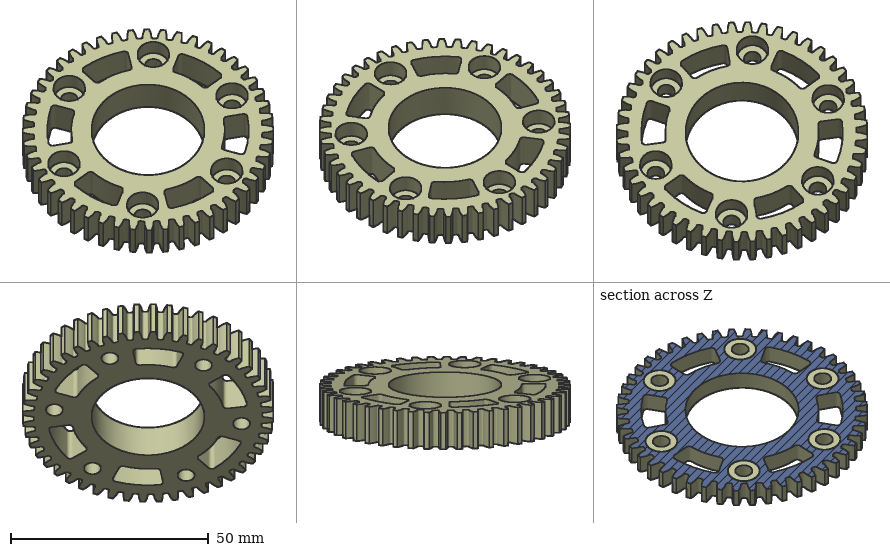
import cadquery as cq
import math

INCH = 25.4

TOOTH_COUNT = 48
MODULE = INCH / 20
PRESSURE_ANGLE = math.radians(14.5)
DEDENDUM_FACTOR = 1.25
ROOT_FILLET = 0.55
FLANK_POINTS = 6

PITCH_RADIUS = MODULE * TOOTH_COUNT / 2
TIP_RADIUS = PITCH_RADIUS + MODULE
ROOT_RADIUS = PITCH_RADIUS - DEDENDUM_FACTOR * MODULE
BASE_RADIUS = PITCH_RADIUS * math.cos(PRESSURE_ANGLE)
TOOTH_PITCH = 2 * math.pi / TOOTH_COUNT

THICKNESS = 0.375 * INCH
BORE_DIAMETER = 1.125 * INCH

BOLT_COUNT = 6
BOLT_CIRCLE_RADIUS = 1.875 * INCH / 2
BOLT_START_ANGLE = 90
BOLT_DIAMETER = 4.3
COUNTERBORE_DIAMETER = 8.0
COUNTERBORE_DEPTH = THICKNESS / 2

WINDOW_INNER_RADIUS = 19.4
WINDOW_OUTER_RADIUS = 25.5
WINDOW_SPAN = 180 / BOLT_COUNT
WINDOW_CORNER_RADIUS = 1.0


def polar(radius, angle):
    """Point at a radius and an angle in radians."""
    return (radius * math.cos(angle), radius * math.sin(angle))


def involute_point(roll_angle, start_angle):
    """Point on the involute that leaves the base circle at a start angle."""
    x, y = polar(BASE_RADIUS, start_angle + roll_angle)
    dx, dy = polar(BASE_RADIUS * roll_angle, start_angle + roll_angle - math.pi / 2)
    return (x + dx, y + dy)


def make_tooth_gap():
    """Solid filling the gap centred on +X: involute flanks, radial below the base circle."""
    clearance_radius = TIP_RADIUS + MODULE
    involute_at_pitch = math.tan(PRESSURE_ANGLE) - PRESSURE_ANGLE
    root_angle = TOOTH_PITCH / 4 - involute_at_pitch
    tip_roll = math.sqrt((TIP_RADIUS / BASE_RADIUS) ** 2 - 1)
    tip_angle = root_angle + tip_roll - math.atan(tip_roll)

    rolls = [tip_roll * i / (FLANK_POINTS - 1) for i in range(FLANK_POINTS)]
    upper_flank = [involute_point(roll, root_angle) for roll in rolls]
    lower_flank = [(x, -y) for x, y in reversed(upper_flank)]
    upper_tangents = [polar(1, root_angle), polar(1, root_angle + tip_roll)]
    lower_tangents = [(-x, y) for x, y in reversed(upper_tangents)]

    gap = (
        cq.Workplane("XY")
        .moveTo(*polar(ROOT_RADIUS, root_angle))
        .lineTo(*upper_flank[0])
        .spline(upper_flank[1:], tangents=upper_tangents, includeCurrent=True)
        .lineTo(*polar(clearance_radius, tip_angle))
        .lineTo(*polar(clearance_radius, -tip_angle))
        .lineTo(*lower_flank[0])
        .spline(lower_flank[1:], tangents=lower_tangents, includeCurrent=True)
        .lineTo(*polar(ROOT_RADIUS, -root_angle))
        .threePointArc((ROOT_RADIUS, 0), polar(ROOT_RADIUS, root_angle))
        .close()
        .extrude(THICKNESS)
    )
    root_corners = cq.selectors.BoxSelector(
        (0, -TIP_RADIUS, -THICKNESS),
        ((ROOT_RADIUS + BASE_RADIUS) / 2, TIP_RADIUS, 2 * THICKNESS),
    )
    return gap.edges("|Z").edges(root_corners).fillet(ROOT_FILLET)


def make_window():
    """Solid filling the window centred on +X, bounded by two arcs and two radial sides."""
    half_span = math.radians(WINDOW_SPAN / 2)
    return (
        cq.Workplane("XY")
        .moveTo(*polar(WINDOW_INNER_RADIUS, -half_span))
        .lineTo(*polar(WINDOW_OUTER_RADIUS, -half_span))
        .threePointArc((WINDOW_OUTER_RADIUS, 0), polar(WINDOW_OUTER_RADIUS, half_span))
        .lineTo(*polar(WINDOW_INNER_RADIUS, half_span))
        .threePointArc((WINDOW_INNER_RADIUS, 0), polar(WINDOW_INNER_RADIUS, -half_span))
        .close()
        .extrude(THICKNESS)
        .edges("|Z")
        .fillet(WINDOW_CORNER_RADIUS)
    )


def cut_around(body, cutter, count):
    """Cut evenly spaced copies of a cutter, the first in its own place."""
    solid = cutter.val()
    copies = [solid.rotate((0, 0, 0), (0, 0, 1), i * 360 / count) for i in range(count)]
    return cq.Workplane(body.val().cut(*copies))


def make_blank():
    return cq.Workplane("XY").circle(TIP_RADIUS).circle(BORE_DIAMETER / 2).extrude(THICKNESS)


def cut_bolt_holes(body):
    """Counterbored holes, with the counterbores open at the top face."""
    return (
        body.faces(">Z")
        .workplane(origin=(0, 0, THICKNESS))
        .polarArray(BOLT_CIRCLE_RADIUS, BOLT_START_ANGLE, 360, BOLT_COUNT)
        .cboreHole(BOLT_DIAMETER, COUNTERBORE_DIAMETER, COUNTERBORE_DEPTH)
    )


gear = cut_around(make_blank(), make_tooth_gap(), TOOTH_COUNT)
gear = cut_around(gear, make_window(), BOLT_COUNT)
result = cut_bolt_holes(gear)